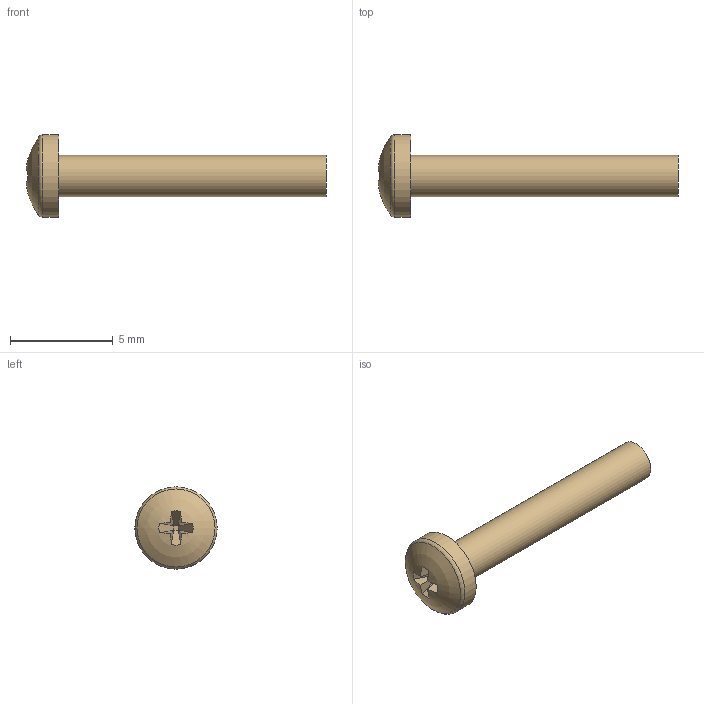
import cadquery as cq
import math

shank_diameter = 2.0
shank_length = 13.0
head_diameter = 4.0
head_height = 1.6
dome_radius = 3.2
rim_fillet_radius = 0.25

recess_arm_span = 1.8
recess_arm_width = 0.5
recess_floor_side = 0.22
recess_depth = 1.2


def make_head():
    """Revolve the domed head, with a rim arc tangent to both the dome and the cylindrical side."""
    head_radius = head_diameter / 2
    dome_center_x = dome_radius - head_height

    rim_center_y = head_radius - rim_fillet_radius
    rim_angle = math.asin(rim_center_y / (dome_radius - rim_fillet_radius))
    rim_center_x = dome_center_x - (dome_radius - rim_fillet_radius) * math.cos(rim_angle)

    def dome_point(angle):
        return dome_center_x - dome_radius * math.cos(angle), dome_radius * math.sin(angle)

    def rim_point(angle):
        return (
            rim_center_x - rim_fillet_radius * math.cos(angle),
            rim_center_y + rim_fillet_radius * math.sin(angle),
        )

    rim_middle_angle = (rim_angle + math.pi / 2) / 2
    profile = (
        cq.Workplane("XY")
        .moveTo(-head_height, 0)
        .threePointArc(dome_point(rim_angle / 2), dome_point(rim_angle))
        .threePointArc(rim_point(rim_middle_angle), (rim_center_x, head_radius))
        .lineTo(0, head_radius)
        .lineTo(0, 0)
        .close()
    )
    return profile.revolve(360, (0, 0, 0), (1, 0, 0))


def make_shank():
    """Plain cylinder running from the head underside towards +X."""
    return cq.Workplane("YZ").circle(shank_diameter / 2).extrude(shank_length)


def make_recess_slot(span_y, span_z):
    """Slot tapering from the dome apex plane down to the square recess floor."""
    return (
        cq.Workplane("YZ", origin=(-head_height, 0, 0))
        .rect(span_y, span_z)
        .workplane(offset=recess_depth)
        .rect(recess_floor_side, recess_floor_side)
        .loft(ruled=True)
    )


screw = make_head().union(make_shank())
screw = screw.cut(make_recess_slot(recess_arm_span, recess_arm_width))
screw = screw.cut(make_recess_slot(recess_arm_width, recess_arm_span))

result = screw